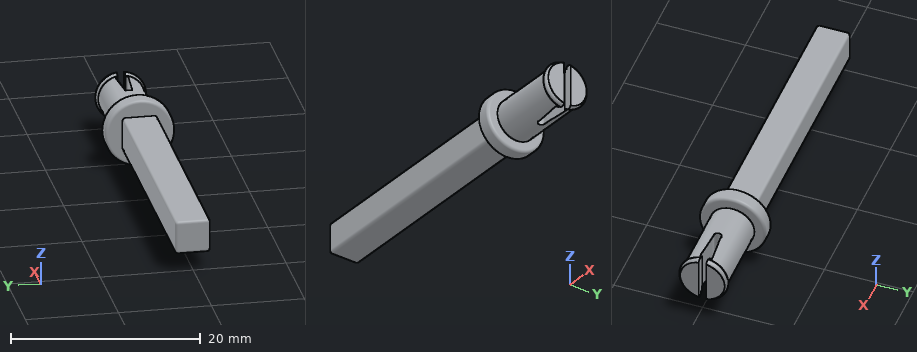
import cadquery as cq

total_length = 40.0

shank_width = 3.75
shank_rounding = 0.35

collar_start = 29.1
collar_thickness = 1.85
collar_diameter = 7.5
collar_rounding = 0.35
collar_end = collar_start + collar_thickness

pin_diameter = 5.0
lip_diameter = 5.5
lip_length = 0.85
lip_start = total_length - lip_length

slot_root = 35.0
slot_root_width = 0.85
slot_straight_length = 0.8
slot_wide_width = 1.3
slot_mouth_width = 0.85
slot_mouth_length = 1.05
slot_wide_land = 0.35
slot_root_rounding = 0.35
slot_shoulder_rounding = 0.1
slot_mouth_start = total_length - slot_mouth_length
slot_taper_start = slot_root + slot_straight_length
slot_taper_end = slot_mouth_start - slot_wide_land


def turned_section(start, end, diameter):
    """Cylinder on the X axis between two stations."""
    return cq.Workplane("YZ", origin=(start, 0, 0)).circle(diameter / 2).extrude(end - start)


def make_shank():
    """Square bar with rounded long edges and a rounded free end."""
    bar = cq.Workplane("YZ").rect(shank_width, shank_width).extrude(collar_start)
    return bar.edges("|X or <X").fillet(shank_rounding)


def make_collar():
    return turned_section(collar_start, collar_end, collar_diameter).edges().fillet(collar_rounding)


def make_pin():
    """Plain pin ending in a lip that bulges in a single arc."""
    pin = turned_section(collar_end, total_length, pin_diameter)
    pin_radius = pin_diameter / 2
    lip_profile = (
        cq.Workplane("XY")
        .moveTo(lip_start, 0)
        .lineTo(lip_start, pin_radius)
        .threePointArc((total_length - lip_length / 2, lip_diameter / 2), (total_length, pin_radius))
        .lineTo(total_length, 0)
        .close()
    )
    lip = lip_profile.revolve(360, (0, 0, 0), (1, 0, 0))
    return pin.union(lip)


def make_slot():
    """Cutter through the full height of the pin, symmetric about the XZ plane."""
    upper_side = [
        (slot_root, slot_root_width / 2),
        (slot_taper_start, slot_root_width / 2),
        (slot_taper_end, slot_wide_width / 2),
        (slot_mouth_start, slot_wide_width / 2),
        (slot_mouth_start, slot_mouth_width / 2),
        (total_length, slot_mouth_width / 2),
    ]
    lower_side = [(x, -y) for x, y in reversed(upper_side)]
    outline = cq.Workplane("XY").polyline(upper_side + lower_side).close()
    cutter = outline.extrude(lip_diameter / 2, both=True)
    cutter = cutter.faces("<X").edges("|Z").fillet(slot_root_rounding)
    shoulder_corners = cq.selectors.BoxSelector(
        (slot_taper_end + slot_wide_land / 2, -slot_wide_width, -lip_diameter),
        (slot_mouth_start + slot_mouth_length / 2, slot_wide_width, lip_diameter),
    )
    shoulders = cutter.edges("|Z").edges(shoulder_corners)
    return shoulders.edges(">Y or <Y").fillet(slot_shoulder_rounding)


result = make_shank().union(make_collar()).union(make_pin()).cut(make_slot())